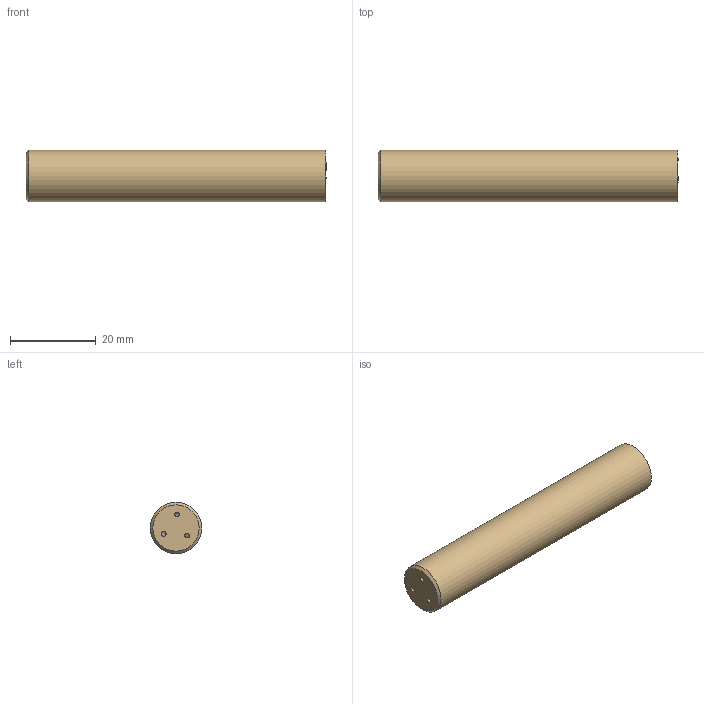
import cadquery as cq
import math

LENGTH = 70.0
DIAMETER = 12.0
CHAMFER = 0.6

CHANNEL_COUNT = 3
CHANNEL_DIAMETER = 1.1
CHANNEL_CIRCLE_RADIUS = 3.15
FIRST_CHANNEL_ANGLE = 94.0
HELIX_ANGLE = 30.0
HELIX_LEAD = math.pi * DIAMETER / math.tan(math.radians(HELIX_ANGLE))
TWIST = 360.0 * LENGTH / HELIX_LEAD

START_X = -LENGTH / 2


def make_rod():
    """Cylinder with a chamfer around its -X end."""
    rod = cq.Workplane("YZ", origin=(START_X, 0, 0)).circle(DIAMETER / 2).extrude(LENGTH)
    return rod.faces("<X").chamfer(CHAMFER)


def make_channel(angle_degrees):
    """Small circle in the -X end plane, twisted about the rod's axis up to the +X end."""
    angle = math.radians(angle_degrees)
    y = CHANNEL_CIRCLE_RADIUS * math.cos(angle)
    z = CHANNEL_CIRCLE_RADIUS * math.sin(angle)
    end_plane = cq.Workplane("YZ", origin=(START_X, 0, 0))
    return end_plane.pushPoints([(y, z)]).circle(CHANNEL_DIAMETER / 2).twistExtrude(LENGTH, TWIST)


result = make_rod()
for index in range(CHANNEL_COUNT):
    channel_angle = FIRST_CHANNEL_ANGLE + index * 360.0 / CHANNEL_COUNT
    result = result.cut(make_channel(channel_angle))